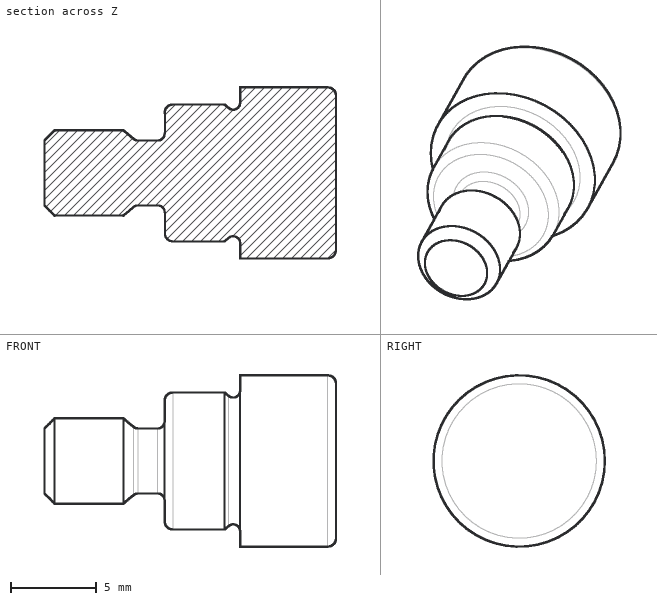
import math

import cadquery as cq

total_length = 17.0
pin_shoulder_x = 4.6
collar_face_x = 7.0
head_face_x = 11.4

pin_radius = 2.5
neck_radius = 1.9
collar_radius = 4.0
groove_radius = 3.7
head_radius = 5.0

tip_chamfer = 0.6
collar_round = 0.5
head_round = 0.5
relief_round = 0.4
relief_angle = math.radians(40)

arc_run = relief_round * math.sin(relief_angle)
arc_rise = relief_round * (1 - math.cos(relief_angle))


def flank_run(outer_radius, floor_radius):
    """Axial length of the straight flank between a step and the arc above its floor."""
    return (outer_radius - floor_radius - arc_rise) / math.tan(relief_angle)


def relief_arc(profile, floor_start_x, floor_radius):
    """Arc from the end of the flank down to the relief floor."""
    half_angle = relief_angle / 2
    middle = (
        floor_start_x - relief_round * math.sin(half_angle),
        floor_radius + relief_round * (1 - math.cos(half_angle)),
    )
    return profile.threePointArc(middle, (floor_start_x, floor_radius))


def quarter_arc(profile, start, end, center):
    """Quarter circle of the outline, passing through the point nearest its tangent corner."""
    corner = (start[0] + end[0] - center[0], start[1] + end[1] - center[1])
    middle = tuple(c + (k - c) * math.sqrt(0.5) for c, k in zip(center, corner))
    return profile.threePointArc(middle, end)


def face_fillet(profile, face_x, floor_radius):
    """Internal quarter arc from a relief floor up to the face that closes it."""
    start = (face_x - relief_round, floor_radius)
    end = (face_x, floor_radius + relief_round)
    return quarter_arc(profile, start, end, (start[0], end[1]))


def draw_pin_and_neck(profile):
    neck_flank_end_x = pin_shoulder_x + flank_run(pin_radius, neck_radius)
    neck_floor_x = neck_flank_end_x + arc_run
    profile = (
        profile.lineTo(0, pin_radius - tip_chamfer)
        .lineTo(tip_chamfer, pin_radius)
        .lineTo(pin_shoulder_x, pin_radius)
        .lineTo(neck_flank_end_x, neck_radius + arc_rise)
    )
    profile = relief_arc(profile, neck_floor_x, neck_radius)
    profile = profile.lineTo(collar_face_x - relief_round, neck_radius)
    return face_fillet(profile, collar_face_x, neck_radius)


def draw_collar_and_groove(profile):
    groove_floor_x = head_face_x - relief_round
    groove_flank_end_x = groove_floor_x - arc_run
    collar_end_x = groove_flank_end_x - flank_run(collar_radius, groove_radius)
    round_start = (collar_face_x, collar_radius - collar_round)
    round_end = (collar_face_x + collar_round, collar_radius)
    profile = profile.lineTo(*round_start)
    profile = quarter_arc(profile, round_start, round_end, (round_end[0], round_start[1]))
    profile = profile.lineTo(collar_end_x, collar_radius)
    profile = profile.lineTo(groove_flank_end_x, groove_radius + arc_rise)
    profile = relief_arc(profile, groove_floor_x, groove_radius)
    return face_fillet(profile, head_face_x, groove_radius)


def draw_head(profile):
    round_start = (total_length - head_round, head_radius)
    round_end = (total_length, head_radius - head_round)
    profile = profile.lineTo(head_face_x, head_radius).lineTo(*round_start)
    profile = quarter_arc(profile, round_start, round_end, (round_start[0], round_end[1]))
    return profile.lineTo(total_length, 0)


outline = cq.Workplane("XY").moveTo(0, 0)
outline = draw_pin_and_neck(outline)
outline = draw_collar_and_groove(outline)
outline = draw_head(outline)

result = outline.close().revolve(360, (0, 0, 0), (1, 0, 0))